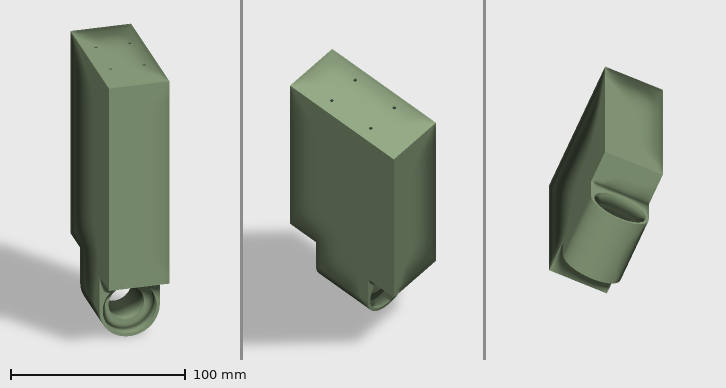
import cadquery as cq
import math

body_width = 80.0
thickness = 36.0
total_height = 168.0
body_height = 128.0

lug_width = 40.0
lug_radius = thickness / 2

bore_diameter = 21.0
seat_diameter = 32.0
seat_depth = 7.0

top_hole_diameter = 2.0
top_hole_depth = 10.0
drill_point_angle = 118
top_hole_spacing_x = 30.0
top_hole_spacing_y = 20.0

body_bottom = total_height - lug_radius - body_height
body_top = body_bottom + body_height


def x_cylinder(diameter, x_start, length):
    """Cylinder on the lug axis, running along +X from x_start."""
    return cq.Workplane("YZ").workplane(offset=x_start).circle(diameter / 2).extrude(length)


def make_body():
    return (
        cq.Workplane("XY")
        .workplane(offset=body_bottom)
        .rect(body_width, thickness)
        .extrude(body_height)
    )


def make_lug():
    return (
        cq.Workplane("YZ")
        .moveTo(-lug_radius, body_bottom)
        .lineTo(-lug_radius, 0)
        .threePointArc((0, -lug_radius), (lug_radius, 0))
        .lineTo(lug_radius, body_bottom)
        .close()
        .extrude(lug_width / 2, both=True)
    )


def make_bearing_cut():
    left_face = -lug_width / 2
    right_face = lug_width / 2
    bore = x_cylinder(bore_diameter, left_face, lug_width)
    left_seat = x_cylinder(seat_diameter, left_face, seat_depth)
    right_seat = x_cylinder(seat_diameter, right_face - seat_depth, seat_depth)
    return bore.union(left_seat).union(right_seat)


def make_top_holes():
    hole_radius = top_hole_diameter / 2
    point_depth = hole_radius / math.tan(math.radians(drill_point_angle / 2))
    hole_floor = body_top - top_hole_depth
    drill = (
        cq.Workplane("XZ")
        .moveTo(0, body_top)
        .lineTo(hole_radius, body_top)
        .lineTo(hole_radius, hole_floor)
        .lineTo(0, hole_floor - point_depth)
        .close()
        .revolve(360, (0, 0), (0, 1))
        .val()
    )
    return (
        cq.Workplane("XY")
        .rarray(top_hole_spacing_x, top_hole_spacing_y, 2, 2)
        .eachpoint(lambda place: drill.moved(place), combine="a")
    )


result = make_body().union(make_lug()).cut(make_bearing_cut()).cut(make_top_holes())